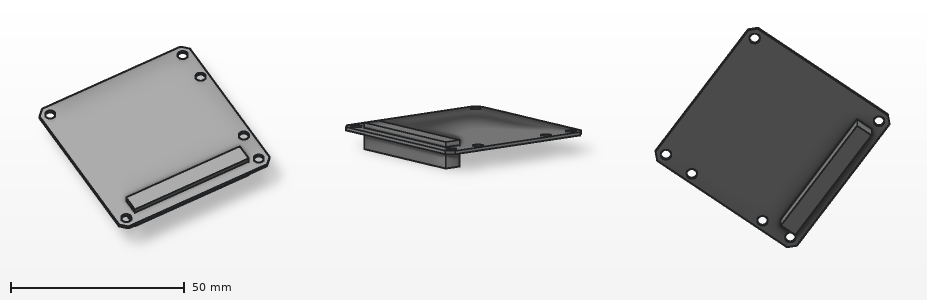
import cadquery as cq

BOARD_SIDE = 50.0
BOARD_THICKNESS = 1.0
CORNER_CHAMFER = 2.0

HOLE_DIAMETER = 3.0
CORNER_HOLE_INSET = 3.0
EDGE_HOLE_INSET = 2.5
EDGE_HOLE_SPACING = 25.0

CONNECTOR_WIDTH = 5.1
CONNECTOR_LENGTH = 37.8
CONNECTOR_HEIGHT = 7.8
CONNECTOR_X = 19.0
CONNECTOR_RISE = 1.5


def connector_block():
    """Rectangular bar that stands through the board."""
    top = BOARD_THICKNESS + CONNECTOR_RISE
    return (
        cq.Workplane("XY", origin=(CONNECTOR_X, 0, top - CONNECTOR_HEIGHT))
        .rect(CONNECTOR_WIDTH, CONNECTOR_LENGTH)
        .extrude(CONNECTOR_HEIGHT)
    )


def hole_centres():
    """Four corner holes and a pair along the +Y edge."""
    corner = BOARD_SIDE / 2 - CORNER_HOLE_INSET
    edge_y = BOARD_SIDE / 2 - EDGE_HOLE_INSET
    corners = [(x, y) for x in (-corner, corner) for y in (-corner, corner)]
    edge_pair = [(side * EDGE_HOLE_SPACING / 2, edge_y) for side in (-1, 1)]
    return corners + edge_pair


def circuit_board(connector):
    """Chamfered plate with its holes and a slot fitted to the connector."""
    plate = (
        cq.Workplane("XY")
        .rect(BOARD_SIDE, BOARD_SIDE)
        .extrude(BOARD_THICKNESS)
        .edges("|Z")
        .chamfer(CORNER_CHAMFER)
    )
    holes = (
        cq.Workplane("XY")
        .pushPoints(hole_centres())
        .circle(HOLE_DIAMETER / 2)
        .extrude(BOARD_THICKNESS)
    )
    return plate.cut(holes).cut(connector)


connector = connector_block()
board = circuit_board(connector)

result = cq.Compound.makeCompound([board.val(), connector.val()])